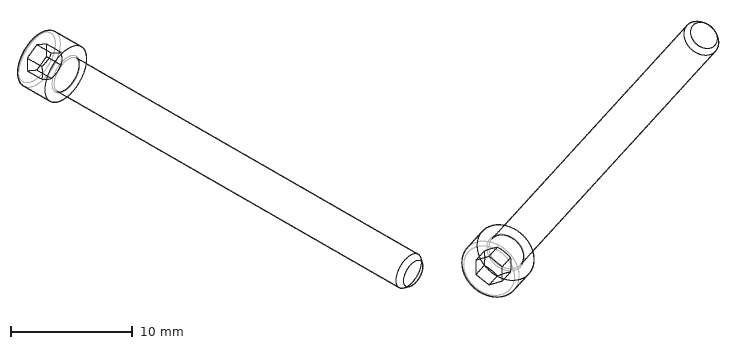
import cadquery as cq
import math

total_length = 41.25
head_diameter = 5.2
head_length = 3.18
head_edge_round = 0.3
shank_diameter = 3.18
neck_fillet = 0.12
tip_chamfer_length = 0.5
tip_chamfer_depth = 0.37
hex_across_flats = 2.4
socket_depth = head_length / 2
drill_point_angle = 120

head_start = -total_length / 2
tip_end = total_length / 2
shank_radius = shank_diameter / 2
hex_across_corners = hex_across_flats / math.cos(math.radians(30))


def make_head():
    head = (
        cq.Workplane("YZ", origin=(head_start, 0, 0))
        .circle(head_diameter / 2)
        .extrude(head_length)
    )
    return head.faces("<X").edges().fillet(head_edge_round)


def make_shank():
    shank = (
        cq.Workplane("YZ", origin=(head_start + head_length, 0, 0))
        .circle(shank_radius)
        .extrude(total_length - head_length)
    )
    tip_bevel = (
        cq.Workplane("XY")
        .moveTo(tip_end - tip_chamfer_length, shank_radius)
        .lineTo(tip_end, shank_radius)
        .lineTo(tip_end, shank_radius - tip_chamfer_depth)
        .close()
        .revolve(360, (0, 0, 0), (1, 0, 0))
    )
    return shank.cut(tip_bevel)


def make_neck_fillet():
    """Ring with a concave quarter-round section in the corner under the head."""
    head_end = head_start + head_length
    middle = neck_fillet * (1 - math.sqrt(0.5))
    return (
        cq.Workplane("XY")
        .moveTo(head_end, shank_radius)
        .lineTo(head_end, shank_radius + neck_fillet)
        .threePointArc(
            (head_end + middle, shank_radius + middle),
            (head_end + neck_fillet, shank_radius),
        )
        .close()
        .revolve(360, (0, 0, 0), (1, 0, 0))
    )


def make_socket():
    """Hexagonal socket with corners at +Z and -Z, its bottom tapering to a point."""
    cone_radius = hex_across_corners / 2
    cone_depth = cone_radius / math.tan(math.radians(drill_point_angle / 2))
    hexagon = (
        cq.Workplane("YZ", origin=(head_start, 0, 0))
        .transformed(rotate=(0, 0, 90))
        .polygon(6, hex_across_corners)
        .extrude(socket_depth + cone_depth)
    )
    pointed_bore = (
        cq.Workplane("XY")
        .moveTo(head_start, 0)
        .lineTo(head_start, cone_radius)
        .lineTo(head_start + socket_depth, cone_radius)
        .lineTo(head_start + socket_depth + cone_depth, 0)
        .close()
        .revolve(360, (0, 0, 0), (1, 0, 0))
    )
    return hexagon.intersect(pointed_bore)


result = make_head().union(make_shank()).union(make_neck_fillet()).cut(make_socket())